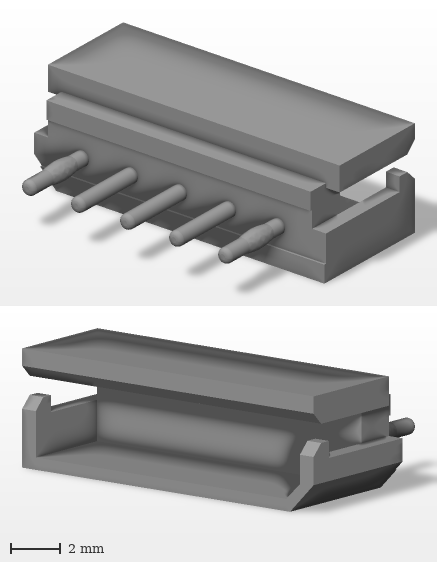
import cadquery as cq

WIDTH = 14.9
HEIGHT = 4.9
DEPTH = 5.9
BEVEL_WIDTH = 1.2
BEVEL_HEIGHT = 1.25

PLATE_DEPTH = 4.9
PLATE_BOTTOM = 3.7
ENTRY_CHAMFER = 0.49

END_WALL = 0.7
END_WALL_TOP = 2.2
HOOK_TOP = 2.9
HOOK_DEPTH = 1.0

BAR_TOP = 3.9
SOCKET_DEPTH = 4.0
FLOOR = 0.5
SOCKET_BEVEL = 0.7

RECESS_DEPTH = 0.1
RECESS_BOTTOM = 0.85
RECESS_TOP = 3.04

PIN_COUNT = 5
PIN_PITCH = 2.5
PIN_Z = 1.8
PIN_DIAMETER = 0.7
PIN_RADIUS = PIN_DIAMETER / 2
PIN_TIP_Y = -9.4
PIN_TIP_ROUND = 0.22
PIN_EMBED = 0.3
BULGE_RADIUS = 0.45
BULGE_START_Y = -6.5
BULGE_END_Y = -8.09


def extrude_side_profile(points, width):
    """Extrude a closed (y, z) outline along X, centred on X = 0."""
    return cq.Workplane("YZ").polyline(points).close().extrude(width / 2, both=True)


def make_top_plate():
    return extrude_side_profile(
        [
            (0, HEIGHT),
            (-PLATE_DEPTH, HEIGHT),
            (-PLATE_DEPTH, PLATE_BOTTOM),
            (-ENTRY_CHAMFER, PLATE_BOTTOM),
            (0, PLATE_BOTTOM + ENTRY_CHAMFER),
        ],
        WIDTH,
    )


def make_base():
    """Lower body with the hook along its back edge."""
    return extrude_side_profile(
        [
            (0, 0),
            (-DEPTH, 0),
            (-DEPTH, END_WALL_TOP),
            (-HOOK_DEPTH, END_WALL_TOP),
            (-HOOK_DEPTH, HOOK_TOP),
            (-ENTRY_CHAMFER, HOOK_TOP),
            (0, HOOK_TOP - ENTRY_CHAMFER),
        ],
        WIDTH,
    )


def box_between(width, y_front, y_back, z_bottom, z_top):
    """Box centred on X = 0 between the given Y and Z limits."""
    return (
        cq.Workplane("XY")
        .box(width, y_back - y_front, z_top - z_bottom, centered=(True, False, False))
        .translate((0, y_front, z_bottom))
    )


def make_bevel_cutter():
    left = -WIDTH / 2
    return (
        cq.Workplane("XZ")
        .polyline([(left, 0), (left + BEVEL_WIDTH, 0), (left, BEVEL_HEIGHT)])
        .close()
        .extrude(DEPTH)
    )


def make_socket_cutter(inner_width):
    """Pocket open to the back, bevelled along its lower -X edge beside the outer bevel."""
    socket = box_between(inner_width, -SOCKET_DEPTH, 0, FLOOR, PLATE_BOTTOM)
    return socket.faces("<X").edges("<Z").chamfer(SOCKET_BEVEL)


def make_housing():
    inner_width = WIDTH - 2 * END_WALL
    bar = box_between(inner_width, -DEPTH, -SOCKET_DEPTH, FLOOR, BAR_TOP)
    recess = box_between(WIDTH, -DEPTH, -DEPTH + RECESS_DEPTH, RECESS_BOTTOM, RECESS_TOP)
    housing = make_base().cut(make_socket_cutter(inner_width)).union(bar).union(make_top_plate())
    return housing.cut(recess).cut(make_bevel_cutter())


def make_pin(x, has_bulge):
    """Round pin along Y with a rounded tip and, if asked for, a barrel-shaped bulge."""
    root_y = -DEPTH + RECESS_DEPTH + PIN_EMBED
    pin = (
        cq.Workplane("XZ", origin=(0, root_y, 0))
        .circle(PIN_RADIUS)
        .extrude(root_y - PIN_TIP_Y)
        .faces("<Y")
        .edges()
        .fillet(PIN_TIP_ROUND)
    )
    if has_bulge:
        bulge = (
            cq.Workplane("XY")
            .moveTo(0, BULGE_START_Y)
            .lineTo(PIN_RADIUS, BULGE_START_Y)
            .threePointArc(
                (BULGE_RADIUS, (BULGE_START_Y + BULGE_END_Y) / 2),
                (PIN_RADIUS, BULGE_END_Y),
            )
            .lineTo(0, BULGE_END_Y)
            .close()
            .revolve(360, (0, 0, 0), (0, 1, 0))
        )
        pin = pin.union(bulge)
    return pin.translate((x, 0, PIN_Z))


result = make_housing()
for index in range(PIN_COUNT):
    pin_x = (index - (PIN_COUNT - 1) / 2) * PIN_PITCH
    is_outer_pin = index in (0, PIN_COUNT - 1)
    result = result.union(make_pin(pin_x, is_outer_pin))